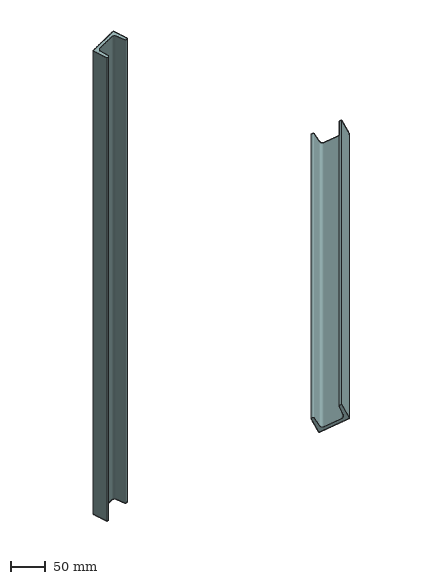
import cadquery as cq

length = 940.0
width = 25.0
height = 50.0
web_thickness = 5.0
flange_thickness = 6.0
flange_slope = 0.08
root_radius = 5.0
toe_radius = 2.0


def flange_inner_y(x):
    """Height of the sloping inner flange face above the mid-plane at a given X."""
    return height / 2 - flange_thickness + flange_slope * (x - width / 2)


def channel_section():
    """Sharp-cornered outline, centred in Y, with the web's outer face at X = 0."""
    outer_y = height / 2
    root_y = flange_inner_y(web_thickness)
    toe_y = flange_inner_y(width)
    return cq.Workplane("XY").polyline([
        (0, -outer_y),
        (width, -outer_y),
        (width, -toe_y),
        (web_thickness, -root_y),
        (web_thickness, root_y),
        (width, toe_y),
        (width, outer_y),
        (0, outer_y),
    ]).close()


def inner_edges_at(x):
    """Selector for the two inner lengthwise edges of the channel at a given X."""
    margin = 0.1
    inner_reach = flange_inner_y(width) + margin
    return cq.selectors.BoxSelector(
        (x - margin, -inner_reach, 0),
        (x + margin, inner_reach, length),
    )


channel = channel_section().extrude(length)
channel = channel.edges("|Z").edges(inner_edges_at(web_thickness)).fillet(root_radius)
result = channel.edges("|Z").edges(inner_edges_at(width)).fillet(toe_radius)